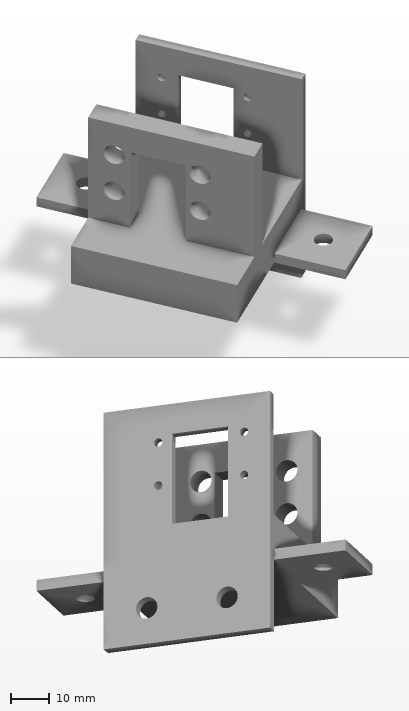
import cadquery as cq

overall_width = 86.5
tab_size = 20.0
body_width = overall_width - 2 * tab_size
body_depth = 50.2
body_height = 12.5
back_y = body_depth / 2

wall_height = 33.5
back_wall_thickness = 2.6
front_wall_thickness = 6.0
wall_gap = 28.9
front_wall_back_y = back_y - back_wall_thickness - wall_gap

window_width = 15.65
window_height = 25.1
window_left_margin = 11.8
window_x = -body_width / 2 + window_left_margin + window_width / 2

screw_spacing_x = 24.05
screw_spacing_z = 12.0
screw_left_margin = 7.3
screw_top_margins = (10.5, 10.3)
pilot_diameter = 2.3
access_diameter = 6.0

plate_thickness = 3.0
plate_drop = 20.0
plate_hole_diameter = 6.0
plate_hole_spacing = 22.5

tab_thickness = 3.0
tab_hole_diameter = 5.0
tab_y = back_y - plate_thickness - tab_size / 2
tab_hole_x = (overall_width - tab_size) / 2


def slab(width, thickness, height, back, bottom):
    """Box centred on X, reaching forward from its back face and up from its bottom."""
    return (
        cq.Workplane("XY", origin=(0, back - thickness / 2, bottom))
        .box(width, thickness, height, centered=(True, True, False))
    )


def drill_along_y(points, diameter, back, depth):
    """Cylinders at (x, z) points, running forward from the back position."""
    return (
        cq.Workplane("XZ", origin=(0, back, 0))
        .pushPoints(points)
        .circle(diameter / 2)
        .extrude(depth)
    )


body = slab(body_width, body_depth, body_height, back_y, 0)
back_wall = slab(body_width, back_wall_thickness, wall_height, back_y, body_height)
front_wall = slab(body_width, front_wall_thickness, wall_height, front_wall_back_y, body_height)
plate = slab(body_width, plate_thickness, plate_drop + body_height, back_y, -plate_drop)
tabs = slab(overall_width, tab_size, tab_thickness, tab_y + tab_size / 2, 0)
bracket = body.union(back_wall).union(front_wall).union(plate).union(tabs)

window = slab(window_width, body_depth, window_height, back_y, body_height).translate((window_x, 0, 0))
bracket = bracket.cut(window)

screw_left_x = -body_width / 2 + screw_left_margin
wall_top_z = body_height + wall_height
screw_points = [
    (screw_left_x + column * screw_spacing_x, wall_top_z - top_margin - row * screw_spacing_z)
    for column, top_margin in enumerate(screw_top_margins)
    for row in range(2)
]
bracket = bracket.cut(drill_along_y(screw_points, pilot_diameter, back_y, back_wall_thickness))
bracket = bracket.cut(
    drill_along_y(screw_points, access_diameter, front_wall_back_y, front_wall_thickness)
)

plate_points = [(side * plate_hole_spacing / 2, -plate_drop / 2) for side in (-1, 1)]
bracket = bracket.cut(drill_along_y(plate_points, plate_hole_diameter, back_y, plate_thickness))

tab_holes = (
    cq.Workplane("XY")
    .pushPoints([(side * tab_hole_x, tab_y) for side in (-1, 1)])
    .circle(tab_hole_diameter / 2)
    .extrude(tab_thickness)
)
result = bracket.cut(tab_holes)